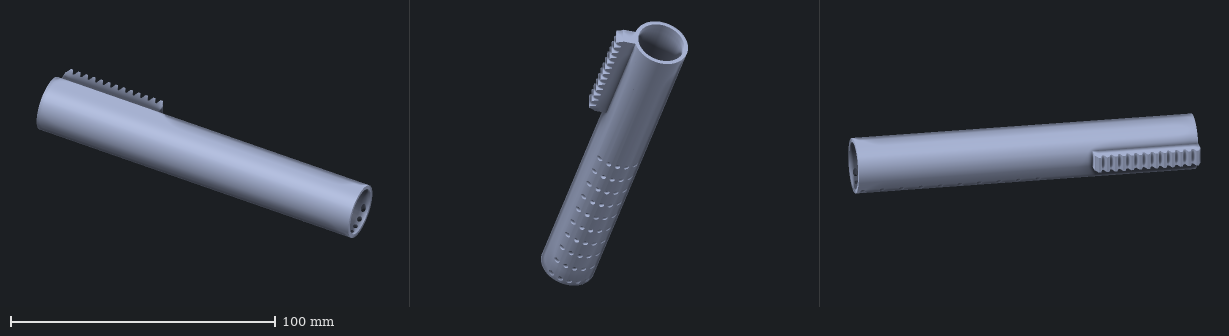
import cadquery as cq

tube_length = 130.8
tube_diameter = 21.0
bore_diameter = 18.0
tube_radius = tube_diameter / 2

overall_depth = 27.7
rack_length = 40.8
rack_thickness = 6.0
tooth_count = 13
tooth_pitch = rack_length / tooth_count
tooth_height = 2.2
tip_width = 0.9
root_gap = 0.7
tip_y = overall_depth - tube_radius
root_y = tip_y - tooth_height
base_width = tooth_pitch - root_gap

hole_diameter = 2.0
holes_per_row = 10
row_length = 67.5
last_hole_inset = 2.1
hole_pitch = row_length / (holes_per_row - 1)
row_count = 5
grid_width = 14.0
row_pitch = grid_width / (row_count - 1)


def make_rack():
    """Rack bar with trapezoidal teeth; it reaches in to the tube axis."""
    first_tooth_x = tooth_pitch / 2
    outline = [(0, 0), (0, root_y)]
    for tooth in range(tooth_count):
        center_x = first_tooth_x + tooth * tooth_pitch
        outline += [
            (center_x - base_width / 2, root_y),
            (center_x - tip_width / 2, tip_y),
            (center_x + tip_width / 2, tip_y),
            (center_x + base_width / 2, root_y),
        ]
    outline += [(rack_length, root_y), (rack_length, 0)]
    return cq.Workplane("XY").polyline(outline).close().extrude(rack_thickness / 2, both=True)


def hole_centers():
    """(x, y) places of the holes, in rows that are symmetric about the tube axis."""
    first_hole_x = tube_length - last_hole_inset - row_length
    first_row_y = -grid_width / 2
    return [
        (first_hole_x + column * hole_pitch, first_row_y + row * row_pitch)
        for row in range(row_count)
        for column in range(holes_per_row)
    ]


tube = cq.Workplane("YZ").circle(tube_radius).extrude(tube_length)
bore = cq.Workplane("YZ").circle(bore_diameter / 2).extrude(tube_length)

holes = cq.Workplane("XY").pushPoints(hole_centers()).circle(hole_diameter / 2).extrude(-tube_diameter)

result = tube.union(make_rack()).cut(bore).cut(holes)